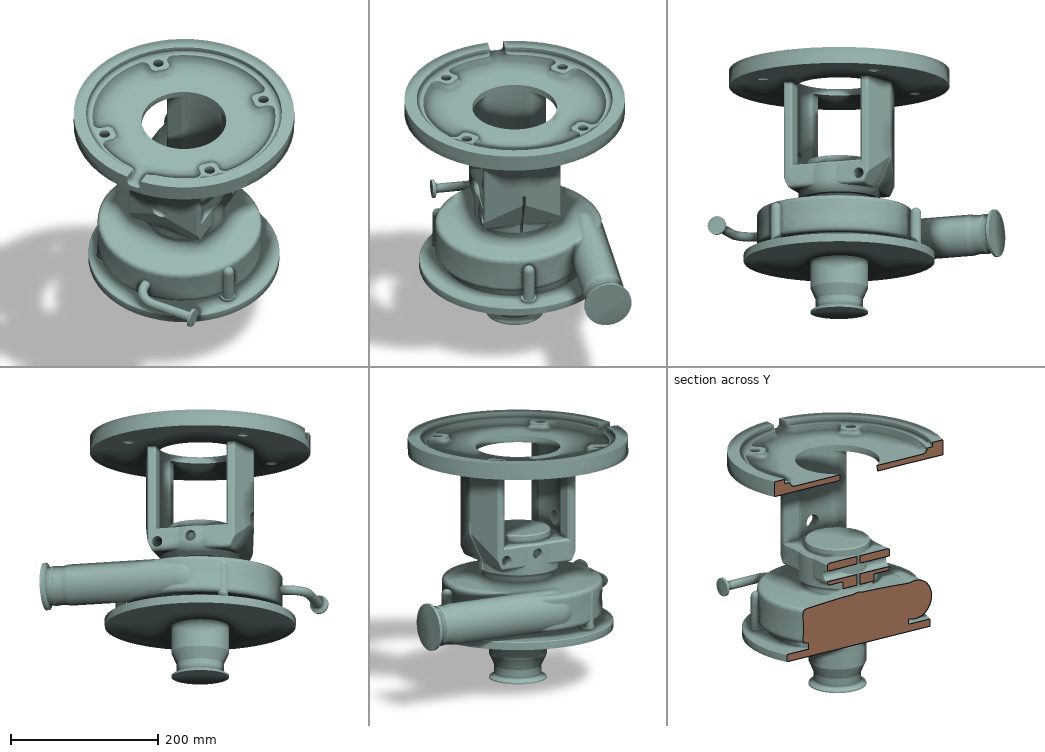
import cadquery as cq
import math


selection_margin = 0.5

spout_radius = 39.5
spout_neck_radius = 32.5
spout_rim_height = 2.0
spout_neck_bottom = 6.7
spout_neck_top = 18.5
spout_cone_top = 34.0
plate_radius = 130.0
plate_bottom = 71.5
plate_top = 82.5
plate_chamfer = 1.0

plinth_radius = 97.5
casing_bottom = 91.5
casing_top = 141.3
casing_top_radius = 109.0
volute_mean_radius = 107.2
volute_growth = 6.0 / 90
volute_start_angle = 136
volute_end_angle = -180
volute_steps = 12
casing_edge_radius = 6.0

collar_radius = 49.2
collar_bottom = 146.0
collar_top = 152.0
neck_radius = 46.5
shaft_radius = 45.7
shaft_top = 198.2
cap_radius = 44.3
cap_top = 210.5
cap_chamfer = 1.8

pipe_x = -95.0
pipe_z = 115.5
pipe_radius = 28.0
pipe_cone_start = 158.0
pipe_cone_end = 165.5
sleeve_radius = 26.7
bead_radius = 27.5
bead_start = 177.0
bead_end = 180.5
pipe_neck_radius = 26.5
ferrule_taper_start = 186.5
ferrule_start = 189.8
pipe_end = 193.5
pipe_joint_fillet = 1.8
ferrule_radius = 32.5

drain_radius = 6.5
drain_z = 115.0
drain_bend_radius = 28.5
drain_y = -145.0
drain_end = 89.0
drain_rim_radius = 12.5
drain_rim_thickness = 4.0
drain_taper_length = 2.5

stud_circle_radius = 111.0
stud_angles = (-150, -30, 90)
stud_radius = 7.5
stud_top = 137.7
stud_foot_radius = 10.5
stud_foot_top = 86.5
stud_foot_circle_radius = 108.5

hub_radius = 55.0
hub_bottom = 157.0
hub_top = 199.5
yoke_half_width = 52.7
yoke_bottom = 167.3
leg_inner = 49.5
leg_edge = 60.8
leg_ridge = 75.0
ridge_half_width = 3.0
slant_top = 211.5
slant_inner = 54.0
leg_fillet = 3.0
yoke_bottom_fillet = 4.2
slant_fillet = 1.0
flange_joint_fillet = 1.8
window_chamfer = 2.8
yoke_bore_radius = 57.5
ridge_hole_radius = 10.5
ridge_hole_z = 216.5
slit_width = 4.2
screw_radius = 7.5
screw_y = 47.5
screw_z = 180.5
side_hole_z = 185.5

flange_radius = 150.0
flange_bottom = 315.2
flange_top = 337.5
recess_radius = 133.2
recess_floor = 331.0
pocket_radius = 124.5
pocket_floor = 324.0
pocket_fillet = 6.0
bolt_circle_radius = 113.5
bolt_radius = 7.5
bolt_angles = (45, 135, 225, 315)
pad_half_width = 13.0
pad_inner_radius = 99.5
pad_corner_radius = 7.7
pocket_corner_radius = 9.0
drain_slot_width = 21.0


def cylinder(radius, bottom, top):
    return cq.Workplane("XY").workplane(offset=bottom).circle(radius).extrude(top - bottom)


def revolve_about_z(profile):
    """Revolve (radius, height) points, starting and ending on the axis, about Z."""
    return cq.Workplane("XZ").polyline(profile).close().revolve(360, (0, 0), (0, 1))


def spout_and_plate():
    return revolve_about_z([
        (0, 0),
        (spout_radius, 0),
        (spout_radius, spout_rim_height),
        (spout_neck_radius, spout_neck_bottom),
        (spout_neck_radius, spout_neck_top),
        (spout_radius, spout_cone_top),
        (spout_radius, plate_bottom),
        (plate_radius, plate_bottom),
        (plate_radius, plate_top - plate_chamfer),
        (plate_radius - plate_chamfer, plate_top),
        (plinth_radius, plate_top),
        (plinth_radius, casing_bottom + casing_edge_radius),
        (0, casing_bottom + casing_edge_radius),
    ])


def volute_point(angle):
    radius = volute_mean_radius - volute_growth * angle
    return (radius * math.cos(math.radians(angle)), radius * math.sin(math.radians(angle)))


def volute():
    sweep = volute_end_angle - volute_start_angle
    spiral = [volute_point(volute_start_angle + sweep * i / volute_steps) for i in range(volute_steps + 1)]
    blank = (
        cq.Workplane("XY").workplane(offset=casing_bottom)
        .moveTo(*spiral[0])
        .spline(spiral[1:], includeCurrent=True)
        .tangentArcPoint(spiral[0], relative=False)
        .close()
        .extrude(collar_bottom - casing_bottom)
    )
    slope = (collar_bottom - casing_top) / (casing_top_radius - collar_radius)
    rim_height = casing_top - slope * (plate_radius - casing_top_radius)
    cone = revolve_about_z([
        (0, 0),
        (plate_radius, 0),
        (plate_radius, rim_height),
        (collar_radius, collar_bottom),
        (0, collar_bottom),
    ])
    body = blank.intersect(cone)
    rims = [
        e for e in body.edges("not |Z").vals()
        if max(e.startPoint().z, e.endPoint().z) < collar_bottom - selection_margin
        and abs(e.startPoint().z - e.endPoint().z) < collar_bottom - casing_top
    ]
    return body.newObject(rims).fillet(casing_edge_radius)


def shaft():
    stem = revolve_about_z([
        (0, casing_top),
        (collar_radius, casing_top),
        (collar_radius, collar_bottom),
        (neck_radius, collar_top),
        (neck_radius, hub_bottom),
        (shaft_radius, hub_bottom),
        (shaft_radius, shaft_top),
        (0, shaft_top),
    ])
    cap = cylinder(cap_radius, shaft_top, cap_top).faces(">Z").chamfer(cap_chamfer)
    return stem.union(cap)


def discharge_pipe():
    return (
        cq.Workplane("XY", origin=(pipe_x, 0, pipe_z))
        .moveTo(0, -pipe_radius)
        .threePointArc((pipe_radius * math.sqrt(0.5), -pipe_radius * math.sqrt(0.5)), (pipe_radius, 0))
        .lineTo(pipe_radius, pipe_cone_start)
        .lineTo(sleeve_radius, pipe_cone_end)
        .lineTo(sleeve_radius, bead_start)
        .lineTo(bead_radius, bead_start)
        .lineTo(bead_radius, bead_end)
        .lineTo(pipe_neck_radius, bead_end)
        .lineTo(pipe_neck_radius, ferrule_taper_start)
        .lineTo(ferrule_radius, ferrule_start)
        .lineTo(ferrule_radius, pipe_end)
        .lineTo(0, pipe_end)
        .close()
        .revolve(360, (0, 0), (0, 1))
    )


def pump_body():
    """Casing and discharge pipe, with the joint between them rounded."""
    body = volute().union(discharge_pipe())
    nose_box = cq.selectors.BoxSelector(
        (pipe_x - pipe_radius, -pipe_radius, pipe_z - pipe_radius / 2),
        (pipe_x - pipe_radius / 2, -selection_margin, pipe_z + pipe_radius / 2),
    )
    return body.edges(nose_box).fillet(pipe_joint_fillet)


def drain_pipe():
    bend_start = drain_y + drain_bend_radius
    bend_mid = drain_bend_radius * (1 - math.sqrt(0.5))
    path = (
        cq.Workplane("XY", origin=(0, 0, drain_z))
        .moveTo(0, -plinth_radius)
        .lineTo(0, bend_start)
        .threePointArc((bend_mid, drain_y + bend_mid), (drain_bend_radius, drain_y))
        .lineTo(drain_end, drain_y)
    )
    tube = cq.Workplane("XZ", origin=(0, -plinth_radius, drain_z)).circle(drain_radius).sweep(path)
    rim_start = drain_end - drain_rim_thickness
    rim = (
        cq.Workplane("XY", origin=(0, drain_y, drain_z))
        .polyline([
            (rim_start - drain_taper_length, 0),
            (rim_start - drain_taper_length, drain_radius),
            (rim_start, drain_rim_radius),
            (drain_end, drain_rim_radius),
            (drain_end, 0),
        ])
        .close()
        .revolve(360, (0, 0), (1, 0))
    )
    return tube.union(rim)


def stud(angle):
    """A round-topped post on a wider foot that sits slightly nearer the axis."""
    dome_center = stud_top - stud_radius
    post = cylinder(stud_radius, plate_bottom, dome_center)
    post = post.union(cq.Workplane("XY", origin=(0, 0, dome_center)).sphere(stud_radius))
    post = post.translate((stud_circle_radius, 0, 0))
    foot = cylinder(stud_foot_radius, plate_bottom, stud_foot_top)
    foot = foot.translate((stud_foot_circle_radius, 0, 0))
    return post.union(foot).rotate((0, 0, 0), (0, 0, 1), angle)


def yoke():
    outline = [
        (yoke_half_width, -leg_edge),
        (yoke_half_width, leg_edge),
        (ridge_half_width, leg_ridge),
        (-ridge_half_width, leg_ridge),
        (-yoke_half_width, leg_edge),
        (-yoke_half_width, -leg_edge),
        (-ridge_half_width, -leg_ridge),
        (ridge_half_width, -leg_ridge),
    ]
    body = (
        cq.Workplane("XY").workplane(offset=yoke_bottom)
        .polyline(outline).close()
        .extrude(flange_bottom - yoke_bottom)
    )
    for side in (1, -1):
        slant = (
            cq.Workplane("YZ")
            .polyline([
                (side * leg_ridge, slant_top),
                (side * slant_inner, yoke_bottom),
                (side * leg_ridge, yoke_bottom),
            ])
            .close()
            .extrude(yoke_half_width, both=True)
        )
        body = body.cut(slant)
    body = body.edges("|Z").edges("<X or >X").fillet(leg_fillet)
    body = body.faces("<Z").edges().fillet(yoke_bottom_fillet)
    slant_edges = cq.selectors.BoxSelector(
        (-yoke_half_width + leg_fillet, -leg_ridge, yoke_bottom + yoke_bottom_fillet),
        (yoke_half_width - leg_fillet, leg_ridge, slant_top + selection_margin),
    )
    body = body.edges(slant_edges).fillet(slant_fillet)
    window_height = flange_bottom - hub_top
    window = cq.Workplane("XY").workplane(offset=hub_top).rect(
        2 * yoke_half_width, 2 * leg_inner).extrude(window_height)
    body = body.cut(window)
    window_box = cq.selectors.BoxSelector(
        (-2 * yoke_half_width, -leg_inner - selection_margin, hub_top - selection_margin),
        (2 * yoke_half_width, leg_inner + selection_margin, flange_bottom - selection_margin),
    )
    body = body.edges(window_box).edges("<X or >X").chamfer(window_chamfer)
    body = body.union(cylinder(flange_radius, flange_bottom, flange_top))
    joint_box = cq.selectors.BoxSelector(
        (-yoke_half_width - leg_fillet, -leg_ridge - leg_fillet, flange_bottom - selection_margin),
        (yoke_half_width + leg_fillet, leg_ridge + leg_fillet, flange_bottom + selection_margin),
        boundingbox=True,
    )
    body = body.edges(joint_box).fillet(flange_joint_fillet)
    hub = cylinder(hub_radius, hub_bottom, hub_top).faces(">Z").chamfer(window_chamfer)
    return body.union(hub).cut(cylinder(yoke_bore_radius, hub_top, flange_top))


def drill_yoke(body):
    ridge_hole = (
        cq.Workplane("XZ", origin=(0, 0, ridge_hole_z))
        .circle(ridge_hole_radius)
        .extrude(leg_ridge)
    )
    screw_hole = (
        cq.Workplane("YZ", origin=(0, screw_y, screw_z))
        .circle(screw_radius)
        .extrude(hub_radius, both=True)
    )
    side_hole = cq.Workplane("YZ", origin=(0, 0, side_hole_z)).circle(screw_radius).extrude(-hub_radius)
    slit_top = ridge_hole_z + ridge_hole_radius
    slit = (
        cq.Workplane("XY").workplane(offset=hub_bottom)
        .center(0, leg_ridge / 2)
        .rect(slit_width, leg_ridge)
        .extrude(slit_top - hub_bottom)
    )
    return body.cut(ridge_hole).cut(screw_hole).cut(side_hole).cut(slit)


def flange_pocket():
    depth = flange_top - pocket_floor
    pocket = cylinder(pocket_radius, pocket_floor, flange_top)
    pad_length = flange_radius - pad_inner_radius
    for angle in bolt_angles:
        pad = (
            cq.Workplane("XY").workplane(offset=pocket_floor)
            .center(pad_inner_radius + pad_length / 2, 0)
            .rect(pad_length, 2 * pad_half_width)
            .extrude(depth)
            .edges("|Z and <X").fillet(pad_corner_radius)
            .rotate((0, 0, 0), (0, 0, 1), angle)
        )
        pocket = pocket.cut(pad)
    slot = (
        cq.Workplane("XY").workplane(offset=pocket_floor)
        .center(0, -flange_radius)
        .rect(drain_slot_width, flange_radius)
        .extrude(depth)
    )
    pocket = pocket.union(slot)
    corners = [
        e for e in pocket.edges("|Z").vals()
        if abs(math.hypot(e.Center().x, e.Center().y) - pocket_radius) < selection_margin
    ]
    pocket = pocket.newObject(corners).fillet(pocket_corner_radius)
    return pocket.faces("<Z").edges().fillet(pocket_fillet)


def machine_flange(body):
    bolts = (
        cq.Workplane("XY").workplane(offset=flange_bottom)
        .polarArray(bolt_circle_radius, bolt_angles[0], 360, len(bolt_angles))
        .circle(bolt_radius)
        .extrude(flange_top - flange_bottom)
    )
    recess = cylinder(recess_radius, recess_floor, flange_top)
    return body.cut(recess).cut(flange_pocket()).cut(bolts)


bracket = machine_flange(drill_yoke(yoke()))
result = pump_body()
result = result.union(spout_and_plate()).union(drain_pipe())
for stud_angle in stud_angles:
    result = result.union(stud(stud_angle))
result = result.union(bracket).union(shaft())